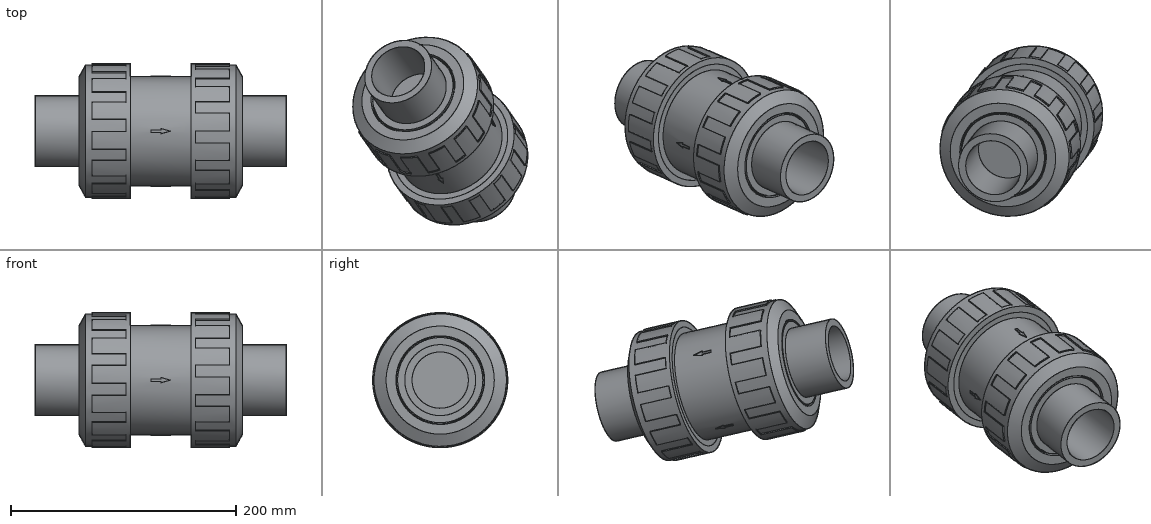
import cadquery as cq
import math

total_length = 223.0
half_length = total_length / 2

nut_inner_face = 27.0
nut_outer_face = 72.7
nut_length = nut_outer_face - nut_inner_face
nut_diameter = 117.6
grip_diameter = 120.0
nut_chamfer_length = 6.0
nut_end_diameter = 96.0
nut_thread_diameter = 108.0
nut_neck_bore = 78.75
nut_end_wall = 12.0
nut_bore_depth = nut_length - nut_end_wall

tooth_count = 14
tooth_pitch = 360.0 / tooth_count
tooth_angle = 0.6 * tooth_pitch
first_tooth_angle = 5.0
band_width = 4.0
teeth_length = 33.8

body_diameter = 97.2
body_thread_diameter = 107.98
neck_diameter = 77.7
neck_end_diameter = 75.6
neck_step = 3.0
neck_end = nut_outer_face
thread_end = nut_inner_face + nut_bore_depth
pipe_diameter = 63.0
pipe_bore = 50.0
pipe_bore_depth = half_length - thread_end

arrow_count = 4
arrow_tail = -8.5
arrow_tip = 8.5
arrow_head_start = 0.0
arrow_shaft_width = 2.2
arrow_head_width = 4.8
arrow_height = 0.5


def cylinder(diameter, start, end):
    """Cylinder along X between two X positions."""
    return cq.Workplane("YZ").workplane(offset=start).circle(diameter / 2).extrude(end - start)


def tooth_gap(middle_angle):
    """Wedge along X that covers one gap between two teeth, as far out as the grip and beyond."""
    half_angle = math.radians(tooth_pitch - tooth_angle) / 2
    middle = math.radians(middle_angle)
    corners = [(0, 0)]
    for angle in (middle - half_angle, middle + half_angle):
        corners.append((-grip_diameter * math.cos(angle), grip_diameter * math.sin(angle)))
    plane = cq.Workplane("YZ").workplane(offset=-nut_inner_face - teeth_length)
    return plane.polyline(corners).close().extrude(teeth_length - band_width)


def make_nut():
    """Union nut on the -X side."""
    inner = -nut_inner_face
    outer = -nut_outer_face
    blank = (
        cq.Workplane("XY")
        .moveTo(outer, 0)
        .lineTo(outer, nut_end_diameter / 2)
        .lineTo(outer + nut_chamfer_length, nut_diameter / 2)
        .lineTo(inner, nut_diameter / 2)
        .lineTo(inner, 0)
        .close()
        .revolve(360, (0, 0, 0), (1, 0, 0))
    )
    grip = cylinder(grip_diameter, inner - teeth_length, inner)
    for index in range(tooth_count):
        grip = grip.cut(tooth_gap(first_tooth_angle + (index + 0.5) * tooth_pitch))
    nut = blank.union(grip)
    nut = nut.cut(cylinder(nut_thread_diameter, inner - nut_bore_depth, inner))
    return nut.cut(cylinder(nut_neck_bore, outer, inner))


def make_arrow():
    """Flow arrow on the +Z side, pointing to +X; its underside lies inside the body."""
    shaft = arrow_shaft_width / 2
    head = arrow_head_width / 2
    outline = [
        (arrow_tail, -shaft),
        (arrow_head_start, -shaft),
        (arrow_head_start, -head),
        (arrow_tip, 0),
        (arrow_head_start, head),
        (arrow_head_start, shaft),
        (arrow_tail, shaft),
    ]
    prism = cq.Workplane("XY").polyline(outline).close().extrude(body_diameter)
    return prism.intersect(cylinder(body_diameter + 2 * arrow_height, arrow_tail, arrow_tip))


def make_body():
    """Valve body: middle barrel, threaded ends, necks and pipe ends, with a blind bore in each pipe."""
    body = cylinder(body_diameter, -nut_inner_face, nut_inner_face)
    for index in range(arrow_count):
        body = body.union(make_arrow().rotate((0, 0, 0), (1, 0, 0), index * 360 / arrow_count))
    end = cylinder(body_thread_diameter, -thread_end, -nut_inner_face)
    end = end.union(cylinder(neck_diameter, -neck_end + neck_step, -thread_end))
    end = end.union(cylinder(neck_end_diameter, -neck_end, -thread_end))
    end = end.union(cylinder(pipe_diameter, -half_length, -neck_end))
    end = end.cut(cylinder(pipe_bore, -half_length, -half_length + pipe_bore_depth))
    return body.union(end).union(end.rotate((0, 0, 0), (0, 1, 0), 180))


body = make_body()
nuts = []
for turn in (0, 180):
    nuts.append(make_nut().rotate((0, 0, 0), (0, 1, 0), turn))

result = cq.Compound.makeCompound([body.val()] + [nut.val() for nut in nuts])